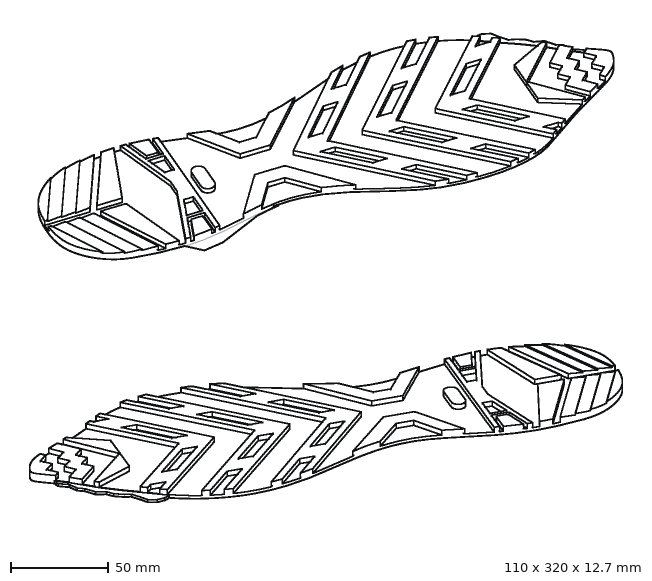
import cadquery as cq

base_height = 2.0
tread_height = 3.0
sole_height = base_height + tread_height
flap_height = 1.5
lug_depth = 7.7

sole_length = 320.0
toe_end = (-2.0, sole_length / 2)
heel_end = (0, -sole_length / 2)
beyond = 96.0

right_toe_edge = [(7.5, 155.8), (16.5, 144), (27.8, 126.7), (38.5, 112.3), (48.3, 98.0), (53.0, 83.5)]
left_toe_edge = [(-7.5, 155.5), (-16, 142.0), (-26.0, 129.5), (-36.8, 112.3), (-45.5, 98.0), (-51.2, 83.5)]
rear_edge = [
    (55.0, 60.0), (53.0, 40.0), (46.0, 17.0), (34.5, -12.0), (30.5, -41.0), (34.5, -64),
    (38.5, -81.5), (40.3, -101.7), (38.7, -122.0), (35.5, -136.3), (28.5, -147.8), (18.0, -156.5),
]

zigzag_center = 1.3
zigzag_step = 4.8
zigzag_valleys = (147.0, 137.3, 127.5)
zigzag_end_slope = 0.93
toe_pad_rear = 110.5
toe_pad_half_width = 14.5
toe_pad_side_slope = 1.9
toe_vee_tip = 110.7
toe_vee_slope = 0.94

chevrons = [(78.5, 0.93, 1.08), (37.0, 0.92, 1.09), (-1.5, 0.9, 1.08)]
chevron_width = 19.2
window_inset = 5.5
window_width = 8.3
inner_window = (6.5, 25.5)
outer_window_start = 36.0

bracket_outside = (9.0, -29.8, -46.7)
bracket_inside = (17.5, -33.5, -43.2)
bracket_front_slope = 0.93
bracket_rear_slope = 0.7

stud_length = 19.0
stud_width = 7.7
stud_y = -71.7

bar_front = -79.7
bar_rear = -88.3
bar_flat = 4.0
bar_slope = 0.32
bar_window_front = -82.5
bar_window = (11.8, 23.7)
bar_window_margin = 3.0
bar_groove_start = 25.5
bar_groove_width = 2.0

spine_half_width = 2.4
front_pad_front = -116.0
front_pad_front_slope = 0.33
front_pad_rear = -130.5
rear_pad_front = -134.5
heel_slope = 0.52
ridge_pitch = 8.0
ridge_count = 3
ridge_drop = 0.8

lug_inner_x = 30.5
lug_profile = [
    (-43.2, 0), (-43.2, -0.5), (-56.0, -1.3),
    (-77.7, -lug_depth), (-89.0, -lug_depth), (-100.5, 0),
]
lug_edge_round = 1.3
flap_outline = [
    (-10.0, 150.0), (-14.0, 149.0), (-17.0, 144), (-21.8, 141.5), (-23.7, 138.0), (-28.8, 133.7),
    (-30.5, 128.5), (-33.5, 125.7), (-36.0, 121.0), (-37.0, 117.5), (-41.5, 114.0), (-45.5, 111.3),
    (-47.0, 107.0), (-46.5, 102.5), (-44.5, 99.2), (-25.5, 115.2),
]


def outline(bottom, height):
    """Solid with the outline of the sole."""
    left_rear_edge = [(-x, y) for x, y in rear_edge]
    right_side = right_toe_edge + rear_edge
    left_side = list(reversed(left_toe_edge + left_rear_edge))
    return (
        cq.Workplane("XY", origin=(0, 0, bottom))
        .spline([toe_end] + right_side + [heel_end] + left_side, periodic=True)
        .close()
        .extrude(height)
    )


def slab(points):
    """Polygon raised from the base to the full height of the sole."""
    return cq.Workplane("XY", origin=(0, 0, base_height)).polyline(points).close().extrude(tread_height)


def with_mirror(shape):
    return shape.union(shape.mirror("YZ"))


def ahead_of_zigzag(valley):
    """Everything in front of a zigzag line with two peaks."""
    points = [
        (zigzag_center + i * zigzag_step, valley + (i % 2) * zigzag_step)
        for i in range(-2, 3)
    ]
    end_y = valley + beyond * zigzag_end_slope
    return slab([(points[0][0] - beyond, end_y)] + points + [(points[-1][0] + beyond, end_y)])


def toe_tread():
    first, second, third = [ahead_of_zigzag(valley) for valley in zigzag_valleys]
    zigzag_band = third.cut(second)
    side_x = toe_pad_half_width + beyond / toe_pad_side_slope
    pad = slab([
        (-toe_pad_half_width, toe_pad_rear), (toe_pad_half_width, toe_pad_rear),
        (side_x, toe_pad_rear + beyond), (-side_x, toe_pad_rear + beyond),
    ])
    vee_y = toe_vee_tip + beyond * toe_vee_slope
    vee = slab([(0, toe_vee_tip), (beyond, vee_y), (-beyond, vee_y)])
    return pad.cut(vee).union(zigzag_band).union(first)


def slanted_strip(start_x, end_x, front_y, slope, width):
    """Strip with sides along Y; front_y is where its front edge would cross the centre line."""
    start_y = front_y + abs(start_x) * slope
    end_y = front_y + abs(end_x) * slope
    return slab([(start_x, start_y), (end_x, end_y), (end_x, end_y - width), (start_x, start_y - width)])


def chevron(tip_y, left_slope, right_slope):
    arms = []
    for side, slope in ((-1, left_slope), (1, right_slope)):
        arm = slanted_strip(0, side * beyond, tip_y, slope, chevron_width)
        for start, end in (inner_window, (outer_window_start, beyond)):
            window = slanted_strip(side * start, side * end, tip_y - window_inset, slope, window_width)
            arm = arm.cut(window)
        arms.append(arm)
    return arms[0].union(arms[1])


def bracket_area(tip_x, front_y, rear_y):
    """Area outward of a bracket line on the right side."""
    return slab([
        (tip_x + beyond, front_y + beyond * bracket_front_slope),
        (tip_x, front_y),
        (tip_x, rear_y),
        (tip_x + beyond, rear_y - beyond * bracket_rear_slope),
    ])


def instep_brackets():
    return with_mirror(bracket_area(*bracket_outside).cut(bracket_area(*bracket_inside)))


def oval_stud():
    return (
        cq.Workplane("XY", origin=(0, stud_y, base_height))
        .slot2D(stud_length, stud_width)
        .extrude(tread_height)
    )


def bar_area(start_x, end_x, front_y, rear_margin):
    """Right-hand piece of the heel bar, keeping a margin to the slanted rear edge."""
    def rear_y(x):
        return bar_rear + rear_margin - (x - bar_flat) * bar_slope

    return slab([(start_x, front_y), (end_x, front_y), (end_x, rear_y(end_x)), (start_x, rear_y(start_x))])


def heel_bar():
    middle = slab([(0, bar_front), (bar_flat, bar_front), (bar_flat, bar_rear), (0, bar_rear)])
    window = bar_area(*bar_window, bar_window_front, bar_window_margin)
    groove = bar_area(bar_groove_start, beyond, bar_window_front, bar_window_margin)
    island = bar_area(
        bar_groove_start + bar_groove_width, beyond,
        bar_window_front - bar_groove_width, bar_window_margin + bar_groove_width,
    )
    half = bar_area(bar_flat, beyond, bar_front, 0).union(middle)
    return with_mirror(half.cut(window).cut(groove).union(island))


def ridge_cut(index):
    """Wedge that slopes one rear strip down toward the heel end."""
    front_y = rear_pad_front - index * ridge_pitch
    along_strip = cq.Vector(1, heel_slope, 0).normalized()
    across_strip = cq.Vector(heel_slope, -1, 0).normalized()
    strip_width = ridge_pitch * abs(across_strip.y)
    plane = cq.Plane(
        origin=(spine_half_width, front_y, sole_height),
        xDir=across_strip,
        normal=along_strip,
    )
    down = -ridge_drop * plane.yDir.z
    triangle = [(0, 0), (strip_width, 0), (strip_width, down)]
    return cq.Workplane(plane).polyline(triangle).close().extrude(beyond, both=True)


def heel_pads():
    outer_x = spine_half_width + beyond
    front_pad = slab([
        (spine_half_width, front_pad_front),
        (outer_x, front_pad_front + beyond * front_pad_front_slope),
        (outer_x, front_pad_rear + beyond * heel_slope),
        (spine_half_width, front_pad_rear),
    ])
    rear_pad = slab([
        (spine_half_width, rear_pad_front),
        (outer_x, rear_pad_front + beyond * heel_slope),
        (outer_x, heel_end[1]),
        (spine_half_width, heel_end[1]),
    ])
    for index in range(ridge_count):
        rear_pad = rear_pad.cut(ridge_cut(index))
    return with_mirror(front_pad.union(rear_pad))


def lug():
    body = (
        cq.Workplane("YZ", origin=(lug_inner_x, 0, 0))
        .polyline(lug_profile)
        .close()
        .extrude(beyond)
    )
    body = body.edges("<X").edges("<Z").fillet(lug_edge_round)
    return body.intersect(outline(-lug_depth, lug_depth))


def toe_flap():
    return cq.Workplane("XY").polyline(flap_outline).close().extrude(flap_height)


def recess():
    """Everything between the tread parts, from the base upward."""
    space = (
        cq.Workplane("XY", origin=(0, 0, base_height))
        .rect(2 * beyond, 2 * sole_length)
        .extrude(tread_height)
    )
    parts = [toe_tread(), instep_brackets(), oval_stud(), heel_bar(), heel_pads()]
    parts += [chevron(*sizes) for sizes in chevrons]
    for part in parts:
        space = space.cut(part)
    return space


sole = outline(0, sole_height).cut(recess())
result = sole.union(toe_flap()).union(lug())